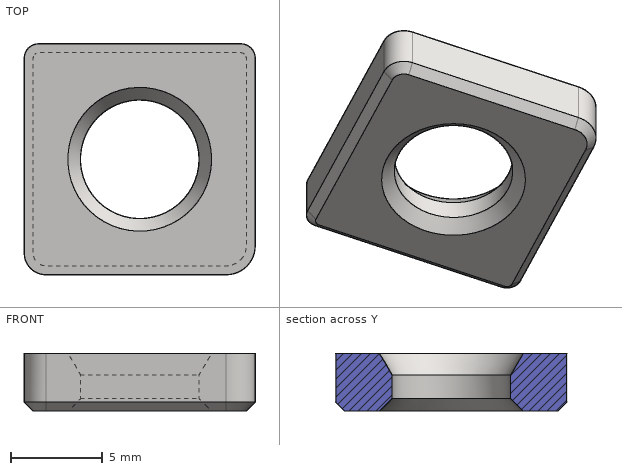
import cadquery as cq

side = 12.7
thickness = 3.18
half_side = side / 2

back_corner_radius = 0.8
front_left_radius = 1.2
front_right_radius = 1.6

bottom_chamfer = 0.5

hole_diameter = 6.5
mouth_diameter = 7.9
top_cone_depth = 1.2
bottom_cone_depth = 0.7


def rounded_plate():
    """Square plate resting on Z = 0, with its own radius at each corner."""
    plate = cq.Workplane("XY").box(side, side, thickness, centered=(True, True, False))
    plate = plate.edges("|Z and >Y").fillet(back_corner_radius)
    plate = plate.edges(cq.selectors.NearestToPointSelector((-half_side, -half_side, thickness / 2)))
    plate = plate.fillet(front_left_radius)
    plate = plate.edges(cq.selectors.NearestToPointSelector((half_side, -half_side, thickness / 2)))
    return plate.fillet(front_right_radius)


def hole_cutter():
    """Straight bore that widens in a cone towards the top and bottom faces."""
    bore_radius = hole_diameter / 2
    mouth_radius = mouth_diameter / 2
    profile = [
        (0, 0),
        (mouth_radius, 0),
        (bore_radius, bottom_cone_depth),
        (bore_radius, thickness - top_cone_depth),
        (mouth_radius, thickness),
        (0, thickness),
    ]
    return cq.Workplane("XZ").polyline(profile).close().revolve(360, (0, 0), (0, 1))


plate = rounded_plate().faces("<Z").edges().chamfer(bottom_chamfer)
result = plate.cut(hole_cutter())